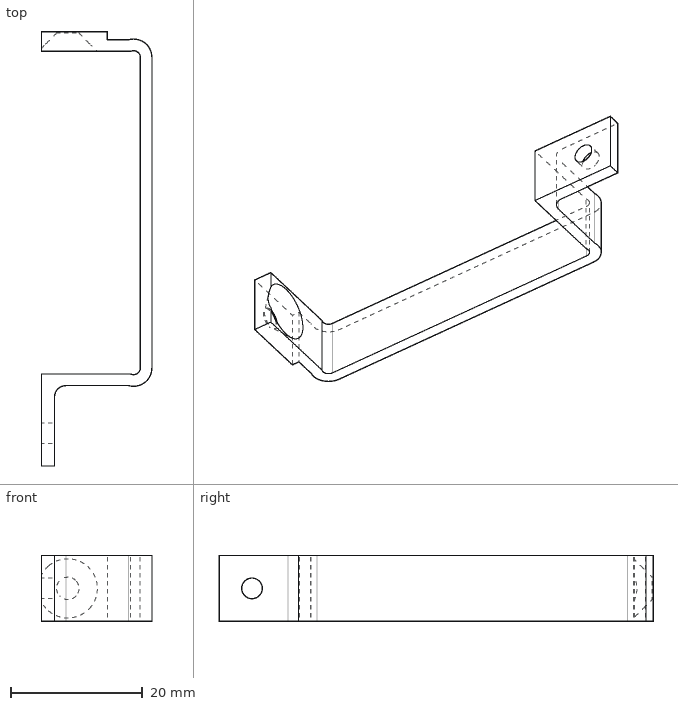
import cadquery as cq
import math

width = 10.0
depth = 16.8
length = 66.0
thickness = 1.8

bend_inner_radius = 1.0
bend_outer_radius = bend_inner_radius + thickness
bend_overrun = 0.1

pad_thickness = 3.0
pad_length = 10.0

leg_thickness = 2.0
leg_fillet = 1.7
arm_gap = 49.0

leg_hole_diameter = 3.1
leg_hole_from_end = 5.0
pad_hole_diameter = 3.4
pad_hole_from_end = 4.0
countersink_diameter = 9.0
countersink_angle = 90.0

upper_inner = length - pad_thickness
upper_outer = upper_inner + thickness
lower_inner = upper_inner - arm_gap
lower_outer = lower_inner - thickness
web_inner = depth - thickness
mid_height = width / 2

bend_x = web_inner - bend_inner_radius
upper_bend_y = upper_inner + bend_overrun - bend_inner_radius
lower_bend_y = lower_inner + bend_inner_radius - bend_overrun


def arc_start_x(radius, rise):
    """X where a bend arc meets an arm face lying `rise` from the bend centre."""
    return bend_x - math.sqrt(radius**2 - rise**2)


def arc_middle(radius, center_y, side):
    """Point on a bend arc at 45 degrees, on the +Y (1) or -Y (-1) side."""
    reach = radius * math.sqrt(0.5)
    return (bend_x + reach, center_y + side * reach)


def make_strip():
    inner_x = arc_start_x(bend_inner_radius, bend_inner_radius - bend_overrun)
    upper_outer_x = arc_start_x(bend_outer_radius, upper_outer - upper_bend_y)
    lower_outer_x = arc_start_x(bend_outer_radius, lower_bend_y - lower_outer)
    profile = (
        cq.Workplane("XY")
        .moveTo(0, 0)
        .lineTo(leg_thickness, 0)
        .lineTo(leg_thickness, lower_outer - leg_fillet)
        .radiusArc((leg_thickness + leg_fillet, lower_outer), leg_fillet)
        .lineTo(lower_outer_x, lower_outer)
        .threePointArc(arc_middle(bend_outer_radius, lower_bend_y, -1), (depth, lower_bend_y))
        .lineTo(depth, upper_bend_y)
        .threePointArc(arc_middle(bend_outer_radius, upper_bend_y, 1), (upper_outer_x, upper_outer))
        .lineTo(pad_length, upper_outer)
        .lineTo(pad_length, length)
        .lineTo(0, length)
        .lineTo(0, upper_inner)
        .lineTo(inner_x, upper_inner)
        .threePointArc(arc_middle(bend_inner_radius, upper_bend_y, 1), (web_inner, upper_bend_y))
        .lineTo(web_inner, lower_bend_y)
        .threePointArc(arc_middle(bend_inner_radius, lower_bend_y, -1), (inner_x, lower_inner))
        .lineTo(0, lower_inner)
        .close()
    )
    return profile.extrude(width)


def cut_leg_hole(body):
    drill = (
        cq.Workplane("YZ")
        .center(leg_hole_from_end, mid_height)
        .circle(leg_hole_diameter / 2)
        .extrude(leg_thickness)
    )
    return body.cut(drill)


def cut_pad_hole(body):
    """Countersunk hole along Y, its wide mouth on the pad's inner face."""
    hole_radius = pad_hole_diameter / 2
    mouth_radius = countersink_diameter / 2
    sink_depth = (mouth_radius - hole_radius) / math.tan(math.radians(countersink_angle / 2))
    axis_start = cq.Vector(pad_hole_from_end, upper_inner, mid_height)
    along_y = cq.Vector(0, 1, 0)
    drill = cq.Solid.makeCylinder(hole_radius, pad_thickness, axis_start, along_y)
    sink = cq.Solid.makeCone(mouth_radius, hole_radius, sink_depth, axis_start, along_y)
    return body.cut(cq.Workplane(drill)).cut(cq.Workplane(sink))


result = cut_pad_hole(cut_leg_hole(make_strip()))